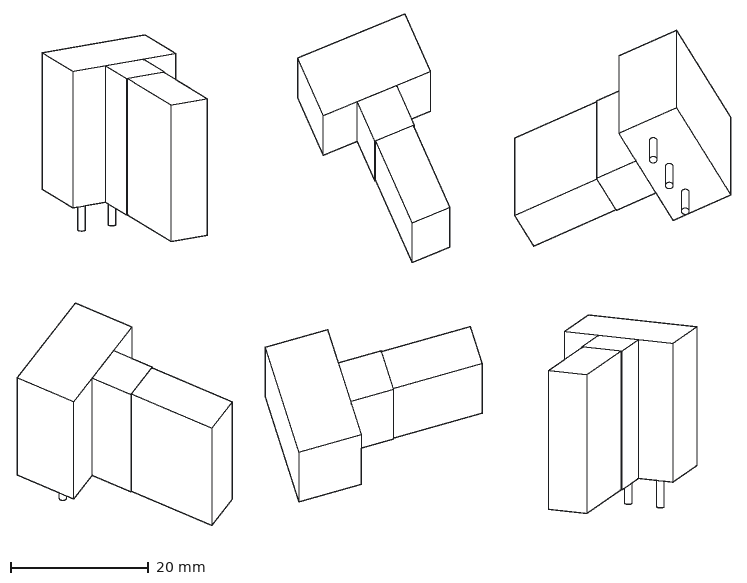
import cadquery as cq

total_length = 29.5
total_height = 26.1
body_height = 21.0
pin_length = total_height - body_height

housing_length = 9.5
housing_width = 17.0

neck_length = 6.5
neck_width = 6.25

blade_length = total_length - housing_length - neck_length
blade_width = 6.0

pin_diameter = 1.12
pin_pitch = 5.02
pin_count = 3
pin_x = 5.65


def make_block(start_x, length, width):
    """Full-height block centred on Y = 0, standing on Z = 0."""
    block = cq.Workplane("XY").box(length, width, body_height, centered=(False, True, False))
    return block.translate((start_x, 0, 0))


def make_pin(y):
    """Round pin hanging from the underside of the housing."""
    return cq.Workplane("XY").center(pin_x, y).circle(pin_diameter / 2).extrude(-pin_length)


housing = make_block(0, housing_length, housing_width)
neck = make_block(housing_length, neck_length, neck_width)
blade = make_block(housing_length + neck_length, blade_length, blade_width)

pins = []
for index in range(pin_count):
    pin_y = (index - (pin_count - 1) / 2) * pin_pitch
    pins.append(make_pin(pin_y).val())

result = cq.Compound.makeCompound([housing.val(), neck.val(), blade.val(), *pins])